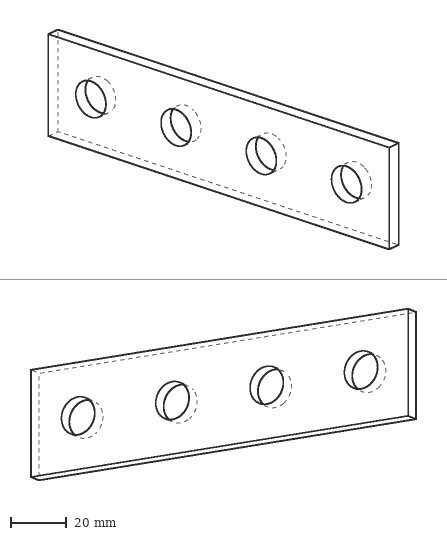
import cadquery as cq

length = 160.0
thickness = 5.5
height = 40.0
hole_count = 4
hole_pitch = length / hole_count
hole_diameter = 14.0

bar = cq.Workplane("XY").box(length, thickness, height)

result = (
    bar.faces("<Y")
    .workplane(centerOption="CenterOfBoundBox")
    .rarray(hole_pitch, height, hole_count, 1)
    .hole(hole_diameter)
)